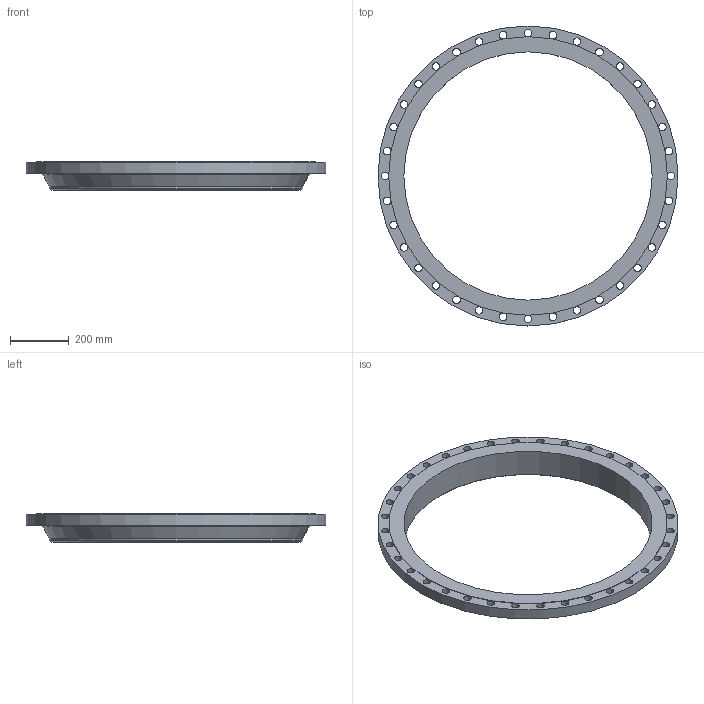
import cadquery as cq
import math

outer_diameter = 1022.35
overall_height = 96.84
bore_diameter = 846.124

raised_face_diameter = 949.3
raised_face_height = 1.6
flange_thickness = 39.6875

hub_base_diameter = 911.0
hub_fillet_radius = 9.525

neck_diameter = 863.6
neck_height = 12.4
weld_land = 1.6
bevel_angle = 37.5

bolt_circle_diameter = 974.725
bolt_hole_diameter = 25.4
bolt_hole_count = 36

flange_bottom = overall_height - flange_thickness
flange_top = overall_height - raised_face_height


def ring_body():
    """Revolve the flange, hub and weld-end section about Z."""
    bore_radius = bore_diameter / 2
    neck_radius = neck_diameter / 2
    land_radius = bore_radius + weld_land
    bevel_height = (neck_radius - land_radius) * math.tan(math.radians(bevel_angle))
    section = (
        cq.Workplane("XZ")
        .moveTo(bore_radius, 0)
        .lineTo(land_radius, 0)
        .lineTo(neck_radius, bevel_height)
        .lineTo(neck_radius, neck_height)
        .lineTo(hub_base_diameter / 2, flange_bottom)
        .lineTo(outer_diameter / 2, flange_bottom)
        .lineTo(outer_diameter / 2, flange_top)
        .lineTo(raised_face_diameter / 2, flange_top)
        .lineTo(raised_face_diameter / 2, overall_height)
        .lineTo(bore_radius, overall_height)
        .close()
    )
    return section.revolve(360, (0, 0, 0), (0, 1, 0))


def blend_hub(body):
    """Fillet the inside corner between the hub cone and the flange."""
    corner_margin = 1.0
    corner_reach = hub_base_diameter / 2 + corner_margin
    corner = cq.selectors.BoxSelector(
        (-corner_reach, -corner_reach, flange_bottom - corner_margin),
        (corner_reach, corner_reach, flange_bottom + corner_margin),
        boundingbox=True,
    )
    return body.edges(corner).fillet(hub_fillet_radius)


def bolt_holes():
    """Cylinders through the flange, equally spaced on the bolt circle."""
    return (
        cq.Workplane("XY")
        .polarArray(bolt_circle_diameter / 2, 0, 360, bolt_hole_count)
        .circle(bolt_hole_diameter / 2)
        .extrude(overall_height)
    )


result = blend_hub(ring_body()).cut(bolt_holes())